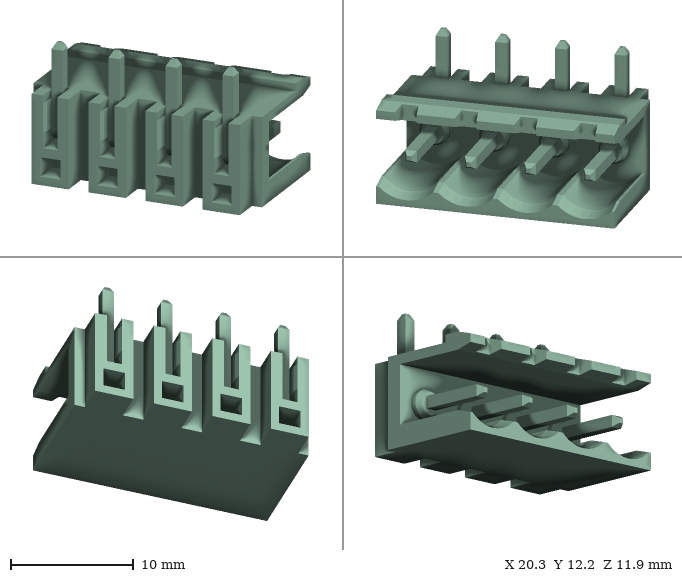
import cadquery as cq
import math

contact_count = 4
pitch = 5.08
length = contact_count * pitch
depth = 12.2
deck_height = 7.8
total_height = 11.9

wall_front_y = 2.44
wall_back_y = 3.86
cavity_floor_z = 1.89
cavity_roof_z = 6.95
ridge_top_z = 8.47
ridge_front_y = 9.25
lead_in_angle = math.radians(15)
lead_in_length = 1.48
lead_in_drop = lead_in_length * math.tan(lead_in_angle)
lead_in_y = depth - lead_in_length

key_outer_width = 1.85
key_inner_width = 1.45
key_depth = 1.2

trough_radius = 3.05
trough_mouth_radius = 3.33

post_width = 3.31
slot_width = 1.3
slot_floor_z = 3.23
pocket_width = 1.85
pocket_bottom_z = 0.73
pocket_height = 1.69

pin_size = 1.0
pin_wall_gap = 0.05
pin_axis_z = 3.9
pin_tip_y = 11.32
pin_tip_size = 0.4
pin_taper_length = 0.53

grip_bottom_z = 4.57
grip_top_z = 7.07
grip_ramp_length = 0.47
grip_thickness = (slot_width - pin_size) / 2

collar_diameter = 2.5
collar_end_diameter = 1.97
collar_length = 1.0
collar_cone_length = 0.5

contact_positions = [(i + 0.5) * pitch for i in range(contact_count)]


def box(x_range, y_range, z_range):
    """Axis-aligned box between the given limits."""
    size = [limits[1] - limits[0] for limits in (x_range, y_range, z_range)]
    corner = (x_range[0], y_range[0], z_range[0])
    return cq.Workplane("XY").box(*size, centered=False).translate(corner)


def centred(middle, width):
    """Lower and upper limit of a width centred on a middle."""
    return middle - width / 2, middle + width / 2


def revolve_about_leg(x, profile):
    """Revolve a (radius, y) profile about the horizontal leg axis at x."""
    body = cq.Workplane("XY").polyline(profile).close().revolve(360, (0, 0, 0), (0, 1, 0))
    return body.translate((x, 0, pin_axis_z))


def housing_body():
    """C-shaped shroud with a latching ridge and tapered lead-ins at its open end."""
    profile = [
        (wall_front_y, 0),
        (depth, 0),
        (depth, cavity_floor_z - lead_in_drop),
        (lead_in_y, cavity_floor_z),
        (wall_back_y, cavity_floor_z),
        (wall_back_y, cavity_roof_z),
        (lead_in_y, cavity_roof_z),
        (depth, cavity_roof_z + lead_in_drop),
        (depth, ridge_top_z - lead_in_drop),
        (lead_in_y, ridge_top_z),
        (ridge_front_y, ridge_top_z),
        (ridge_front_y, deck_height),
        (wall_front_y, deck_height),
    ]
    return cq.Workplane("YZ").polyline(profile).close().extrude(length)


def trough(x):
    """Round channel with a flared mouth, cut into the lower arm."""
    return revolve_about_leg(x, [
        (0, wall_back_y),
        (trough_radius, wall_back_y),
        (trough_radius, lead_in_y),
        (trough_mouth_radius, depth),
        (0, depth),
    ])


def key_slot(x):
    """Slot through the tip of the upper arm, narrowing inwards."""
    outline = [
        (x - key_outer_width / 2, depth),
        (x + key_outer_width / 2, depth),
        (x + key_inner_width / 2, depth - key_depth),
        (x - key_inner_width / 2, depth - key_depth),
    ]
    slot = cq.Workplane("XY").polyline(outline).close().extrude(ridge_top_z - pin_axis_z)
    return slot.translate((0, 0, pin_axis_z))


def grip(x, side):
    """Raised pad on one slot wall (side -1 or +1), ramped from the front."""
    wall_x = x + side * slot_width / 2
    face_x = wall_x - side * grip_thickness
    outline = [(wall_x, 0), (face_x, grip_ramp_length), (face_x, wall_front_y), (wall_x, wall_front_y)]
    pad = cq.Workplane("XY").polyline(outline).close().extrude(grip_top_z - grip_bottom_z)
    return pad.translate((0, 0, grip_bottom_z))


def post(x):
    """Post with a slot open to the front and top, grips, and a square pocket below."""
    y_range = (0, wall_front_y)
    body = box(centred(x, post_width), y_range, (0, deck_height))
    slot = box(centred(x, slot_width), y_range, (slot_floor_z, deck_height))
    pocket_z = (pocket_bottom_z, pocket_bottom_z + pocket_height)
    pocket = box(centred(x, pocket_width), y_range, pocket_z)
    return body.cut(slot).cut(pocket).union(grip(x, -1)).union(grip(x, 1))


def pin_tip():
    """Truncated pyramid standing on its large end at the origin."""
    base = cq.Workplane("XY").rect(pin_size, pin_size)
    return base.workplane(offset=pin_taper_length).rect(pin_tip_size, pin_tip_size).loft()


def pin(x):
    """Right-angled pin: vertical solder leg, rounded outer bend, horizontal contact leg."""
    leg_back_y = wall_front_y - pin_wall_gap
    leg_front_y = leg_back_y - pin_size
    leg_bottom_z = pin_axis_z - pin_size / 2
    leg_top_z = total_height - pin_taper_length
    leg_end_y = pin_tip_y - pin_taper_length
    x_range = centred(x, pin_size)
    vertical = box(x_range, (leg_front_y, leg_back_y), (leg_bottom_z + pin_size, leg_top_z))
    horizontal = box(x_range, (leg_back_y, leg_end_y), (leg_bottom_z, leg_bottom_z + pin_size))
    bend_disc = (
        cq.Workplane("YZ", origin=(x_range[0], leg_back_y, leg_bottom_z + pin_size))
        .circle(pin_size)
        .extrude(pin_size)
    )
    bend_limits = box(x_range, (leg_front_y, leg_back_y), (leg_bottom_z, leg_bottom_z + pin_size))
    bend = bend_disc.intersect(bend_limits)
    vertical_tip = pin_tip().translate((x, leg_back_y - pin_size / 2, leg_top_z))
    horizontal_tip = pin_tip().rotate((0, 0, 0), (1, 0, 0), -90).translate((x, leg_end_y, pin_axis_z))
    return horizontal.union(bend).union(vertical).union(vertical_tip).union(horizontal_tip)


def collar(x):
    """Round collar with a conical end where the contact leg leaves the cavity wall."""
    collar_end_y = wall_back_y + collar_length
    return revolve_about_leg(x, [
        (0, wall_back_y),
        (collar_diameter / 2, wall_back_y),
        (collar_diameter / 2, collar_end_y - collar_cone_length),
        (collar_end_diameter / 2, collar_end_y),
        (0, collar_end_y),
    ])


result = housing_body()
for contact_x in contact_positions:
    result = result.cut(trough(contact_x)).cut(key_slot(contact_x))
for contact_x in contact_positions:
    result = result.union(post(contact_x)).union(collar(contact_x)).union(pin(contact_x))